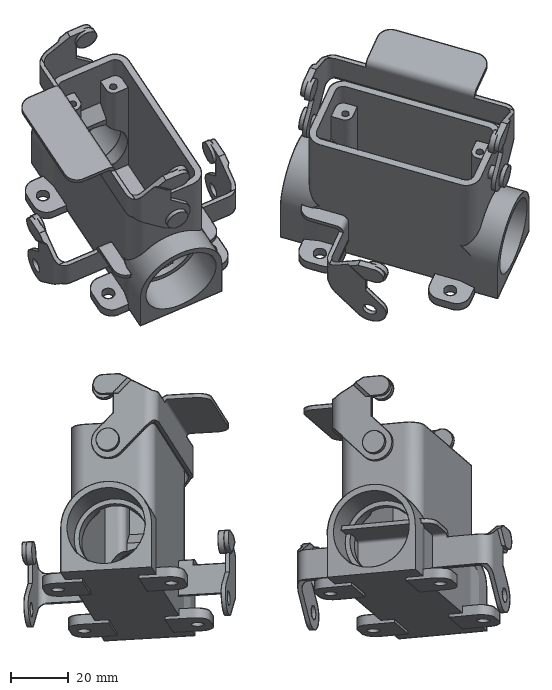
import cadquery as cq
import math


SHELL_HALF_LENGTH = 31.4
SHELL_HALF_WIDTH = 14.8
SHELL_HEIGHT = 56.0
SHELL_RADIUS = 5.5
WALL = 2.5
CAVITY_RADIUS = 2.9
FLOOR = 2.5
CAVITY_HALF_LENGTH = SHELL_HALF_LENGTH - WALL
CAVITY_HALF_WIDTH = SHELL_HALF_WIDTH - WALL

ENTRY_HALF_LENGTH = 40.0
ENTRY_RADIUS = 16.0
ENTRY_AXIS_Z = ENTRY_RADIUS
ENTRY_BORE_DIAMETER = 27.5
ENTRY_BORE_DEPTH = 13.1
ENTRY_THROAT_DIAMETER = 24.0

BLOCK_INNER_X = 24.5
BLOCK_EDGE_Z = 30.0
BLOCK_TOP_Z = BLOCK_EDGE_Z + CAVITY_HALF_LENGTH - BLOCK_INNER_X

POST_RADIUS = 2.8
POST_HOLE_X = 24.7
POST_HOLE_Y = 7.9
POST_HOLE_DIAMETER = 2.5
POST_HOLE_DEPTH = 8.0
POST_TOP_Z = 46.8

FOOT_SIZE = 15.0
FOOT_OUTER_Y = 25.0
FOOT_BOTTOM_Z = -1.1
FOOT_TOP_Z = 2.5
FOOT_RADIUS = 5.0
FOOT_HOLE_X = 24.0
FOOT_HOLE_Y = 20.0
FOOT_HOLE_DIAMETER = 4.5

PIN_Z = 48.2
PIN_DIAMETER = 4.7
PIN_HEAD_DIAMETER = 8.0
PIN_HEAD_INNER_X = 36.1
PIN_HEAD_OUTER_X = 37.6

SHEET = 1.5
ARM_OUTER = 35.5
BEND_OUTER_RADIUS = 4.5
PIVOT_END_RADIUS = 6.0
PIVOT_HOLE_DIAMETER = 5.0
BAR_FRONT = 16.9
BAR_BACK = BAR_FRONT - SHEET
BAR_BOTTOM = 7.1
BAR_TOP = 17.8
NECK_FORWARD = 1.6
HOOK_TOP = 23.9
HOOK_BOTTOM = 17.0
HOOK_CENTRE_FORWARD = -1.8
HOOK_TOP_END = 4.0
SLOPE_END_FORWARD = 15.1
HOOK_STEP = 0.9
STEP_RUN = 1.8
BUTTON_DIAMETER = 8.0
BUTTON_INNER = 32.8
BUTTON_OUTER = 34.9
GRIP_BEND_RADIUS = 1.1
GRIP_END = 32.4
GRIP_HALF_WIDTH = 20.0
GRIP_RADIUS = 5.0

ENDS = (-1, 1)
CORNERS = [(x, y) for x in ENDS for y in ENDS]


def box(x0, x1, y0, y1, z0, z1):
    """Axis-aligned block between two opposite corners, given in any order."""
    size = (abs(x1 - x0), abs(y1 - y0), abs(z1 - z0))
    corner = (min(x0, x1), min(y0, y1), min(z0, z1))
    return cq.Workplane("XY").box(*size, centered=False).translate(corner)


def rod_x(x0, x1, y, z, diameter):
    """Cylinder along X from x0 to x1."""
    return cq.Workplane("YZ", origin=(x0, y, z)).circle(diameter / 2).extrude(x1 - x0)


def shell():
    plan = cq.Workplane("XY").rect(2 * SHELL_HALF_LENGTH, 2 * SHELL_HALF_WIDTH)
    return plan.extrude(SHELL_HEIGHT).edges("|Z").fillet(SHELL_RADIUS)


def cable_entries():
    """Arched block through the shell, narrowing to the shell width behind its corners."""
    arch = rod_x(-ENTRY_HALF_LENGTH, ENTRY_HALF_LENGTH, 0, ENTRY_AXIS_Z, 2 * ENTRY_RADIUS)
    base = box(-ENTRY_HALF_LENGTH, ENTRY_HALF_LENGTH, -ENTRY_RADIUS, ENTRY_RADIUS, 0, ENTRY_AXIS_Z)
    taper_x = SHELL_HALF_LENGTH - SHELL_RADIUS
    side = [
        (ENTRY_HALF_LENGTH, ENTRY_RADIUS),
        (SHELL_HALF_LENGTH, ENTRY_RADIUS),
        (taper_x, SHELL_HALF_WIDTH),
        (-taper_x, SHELL_HALF_WIDTH),
        (-SHELL_HALF_LENGTH, ENTRY_RADIUS),
        (-ENTRY_HALF_LENGTH, ENTRY_RADIUS),
    ]
    opposite_side = [(-x, -y) for x, y in side]
    plan = cq.Workplane("XY").polyline(side + opposite_side).close()
    return arch.union(base).intersect(plan.extrude(SHELL_HEIGHT))


def end_block(end):
    """Thickened end wall with a top that slopes down into the cavity."""
    section = [
        (end * CAVITY_HALF_LENGTH, FLOOR),
        (end * BLOCK_INNER_X, FLOOR),
        (end * BLOCK_INNER_X, BLOCK_EDGE_Z),
        (end * CAVITY_HALF_LENGTH, BLOCK_TOP_Z),
    ]
    return cq.Workplane("XZ").polyline(section).close().extrude(CAVITY_HALF_WIDTH, both=True)


def post(x_side, y_side):
    """Corner post from the floor up, whose free corner is rounded about its screw hole."""
    inner_x = x_side * (POST_HOLE_X - POST_RADIUS)
    inner_y = y_side * (POST_HOLE_Y - POST_RADIUS)
    outer_x = x_side * CAVITY_HALF_LENGTH
    outer_y = y_side * CAVITY_HALF_WIDTH
    body = box(inner_x, outer_x, inner_y, outer_y, FLOOR, POST_TOP_Z)
    free_corner = cq.selectors.NearestToPointSelector((inner_x, inner_y, (FLOOR + POST_TOP_Z) / 2))
    hole = cq.Workplane("XY", origin=(x_side * POST_HOLE_X, y_side * POST_HOLE_Y, POST_TOP_Z))
    hole = hole.circle(POST_HOLE_DIAMETER / 2).extrude(-POST_HOLE_DEPTH)
    return body.edges(free_corner).fillet(POST_RADIUS).cut(hole)


def cavity():
    """Open interior, less the end blocks and posts that are left standing in it."""
    plan = cq.Workplane("XY", origin=(0, 0, FLOOR)).rect(2 * CAVITY_HALF_LENGTH, 2 * CAVITY_HALF_WIDTH)
    space = plan.extrude(SHELL_HEIGHT - FLOOR).edges("|Z").fillet(CAVITY_RADIUS)
    for end in ENDS:
        space = space.cut(end_block(end))
    for x_side, y_side in CORNERS:
        space = space.cut(post(x_side, y_side))
    return space


def entry_bore(end):
    """Stepped bore from the entry face, through the end block and posts, into the cavity."""
    face_x = end * ENTRY_HALF_LENGTH
    shoulder_x = end * (ENTRY_HALF_LENGTH - ENTRY_BORE_DEPTH)
    bore = rod_x(face_x, shoulder_x, 0, ENTRY_AXIS_Z, ENTRY_BORE_DIAMETER)
    throat = rod_x(face_x, end * (POST_HOLE_X - POST_RADIUS), 0, ENTRY_AXIS_Z, ENTRY_THROAT_DIAMETER)
    return bore.union(throat)


def foot(x_side, y_side):
    """Mounting foot with rounded outer corners, reaching under the shell."""
    outer_x = x_side * SHELL_HALF_LENGTH
    inner_x = x_side * (SHELL_HALF_LENGTH - FOOT_SIZE)
    outer_y = y_side * FOOT_OUTER_Y
    inner_y = y_side * (FOOT_OUTER_Y - FOOT_SIZE)
    plate = box(inner_x, outer_x, inner_y, outer_y, FOOT_BOTTOM_Z, FOOT_TOP_Z)
    outer_face = ">Y" if y_side > 0 else "<Y"
    plate = plate.faces(outer_face).edges("|Z").fillet(FOOT_RADIUS)
    hole = cq.Workplane("XY", origin=(x_side * FOOT_HOLE_X, y_side * FOOT_HOLE_Y, FOOT_BOTTOM_Z))
    return plate.cut(hole.circle(FOOT_HOLE_DIAMETER / 2).extrude(FOOT_TOP_Z - FOOT_BOTTOM_Z))


def pivot_pin(end):
    """Headed pin standing out from the end wall."""
    shaft_root_x = end * (SHELL_HALF_LENGTH - WALL / 2)
    head_x = end * PIN_HEAD_INNER_X
    shaft = rod_x(shaft_root_x, head_x, 0, PIN_Z, PIN_DIAMETER)
    return shaft.union(rod_x(head_x, end * PIN_HEAD_OUTER_X, 0, PIN_Z, PIN_HEAD_DIAMETER))


def build_housing():
    body = shell().union(cable_entries())
    for x_side, y_side in CORNERS:
        body = body.union(foot(x_side, y_side))
    body = body.cut(cavity())
    for end in ENDS:
        body = body.cut(entry_bore(end)).union(pivot_pin(end))
    return body


def side_plane(x=0.0):
    """Sketch plane across X whose coordinates are (forward, up) and whose normal is -X."""
    return cq.Workplane(cq.Plane(origin=(x, 0, 0), xDir=(0, -1, 0), normal=(-1, 0, 0)))


def arm_outline(plane):
    """Silhouette of both arms and the cross bar, with 45 degree tangents to the pivot end."""
    tangent_offset = PIVOT_END_RADIUS * math.sqrt(2)
    tangent_point = PIVOT_END_RADIUS / math.sqrt(2)
    hook_middle = (HOOK_TOP + HOOK_BOTTOM) / 2
    hook_radius = (HOOK_TOP - HOOK_BOTTOM) / 2
    return (
        plane.moveTo(tangent_point, -tangent_point)
        .lineTo(tangent_offset + BAR_BOTTOM, BAR_BOTTOM)
        .lineTo(BAR_FRONT, BAR_BOTTOM)
        .lineTo(BAR_FRONT, BAR_TOP)
        .lineTo(SLOPE_END_FORWARD, BAR_TOP)
        .lineTo(HOOK_TOP_END, HOOK_TOP)
        .lineTo(HOOK_CENTRE_FORWARD, HOOK_TOP)
        .threePointArc((HOOK_CENTRE_FORWARD - hook_radius, hook_middle), (HOOK_CENTRE_FORWARD, HOOK_BOTTOM))
        .lineTo(NECK_FORWARD, HOOK_BOTTOM)
        .lineTo(NECK_FORWARD, NECK_FORWARD + tangent_offset)
        .lineTo(-tangent_point, tangent_point)
        .threePointArc((-tangent_point, -tangent_point), (tangent_point, -tangent_point))
        .close()
    )


def channel():
    """Sheet bent into a U: cross bar and both arms, before their outline is trimmed."""
    back = PIVOT_END_RADIUS
    outer = box(-ARM_OUTER, ARM_OUTER, -BAR_FRONT, back, -PIVOT_END_RADIUS, HOOK_TOP)
    outer = outer.edges("|Z and <Y").fillet(BEND_OUTER_RADIUS)
    arm_inner = ARM_OUTER - SHEET
    inner = box(-arm_inner, arm_inner, -BAR_BACK, back, -PIVOT_END_RADIUS, HOOK_TOP)
    inner = inner.edges("|Z and <Y").fillet(BEND_OUTER_RADIUS - SHEET)
    return outer.cut(inner)


def hook_pad(end):
    """Outward step of one hook, its sloped front edge running at 45 degrees across the arm."""
    step_foot = NECK_FORWARD + STEP_RUN
    far_back = -2 * PIVOT_END_RADIUS
    rise = HOOK_TOP - HOOK_BOTTOM

    def section(step_forward, x):
        plane = side_plane(x)
        return plane.polyline([
            (far_back, HOOK_BOTTOM),
            (step_forward, HOOK_BOTTOM),
            (step_forward + rise, HOOK_TOP),
            (far_back, HOOK_TOP),
        ]).close().wires().val()

    arm_face = section(step_foot, end * ARM_OUTER)
    pad_face = section(NECK_FORWARD, end * (ARM_OUTER + HOOK_STEP))
    return cq.Workplane("XY").add(cq.Solid.makeLoft([arm_face, pad_face], True))


def hook_button(end):
    """Round latch button on the inner face of one hook."""
    centre_z = HOOK_TOP - BUTTON_DIAMETER / 2
    return rod_x(end * BUTTON_INNER, end * BUTTON_OUTER, -HOOK_CENTRE_FORWARD, centre_z, BUTTON_DIAMETER)


def grip():
    """Tab bent forward from the top of the cross bar."""
    bend_centre = (BAR_FRONT + GRIP_BEND_RADIUS, BAR_TOP)
    outer_radius = GRIP_BEND_RADIUS + SHEET
    tab_bottom = BAR_TOP + GRIP_BEND_RADIUS
    tab_top = tab_bottom + SHEET

    def bend_middle(radius):
        offset = radius / math.sqrt(2)
        return (bend_centre[0] - offset, bend_centre[1] + offset)

    profile = (
        side_plane().moveTo(BAR_BACK, BAR_TOP)
        .threePointArc(bend_middle(outer_radius), (bend_centre[0], tab_top))
        .lineTo(GRIP_END, tab_top)
        .lineTo(GRIP_END, tab_bottom)
        .lineTo(bend_centre[0], tab_bottom)
        .threePointArc(bend_middle(GRIP_BEND_RADIUS), (BAR_FRONT, BAR_TOP))
        .close()
    )
    tab = profile.extrude(GRIP_HALF_WIDTH, both=True)
    return tab.faces("<Y").edges("|Z").fillet(GRIP_RADIUS)


def build_lever():
    reach = ARM_OUTER + HOOK_STEP
    sheet = channel()
    for end in ENDS:
        sheet = sheet.union(hook_pad(end))
    lever = sheet.intersect(arm_outline(side_plane()).extrude(reach, both=True))
    lever = lever.cut(rod_x(-reach, reach, 0, 0, PIVOT_HOLE_DIAMETER))
    for end in ENDS:
        lever = lever.union(hook_button(end))
    return lever.union(grip())


LEVER_PLACES = [(0, PIN_Z), (90, 0)]

lever_blank = build_lever()
levers = [
    lever_blank.rotate((0, 0, 0), (0, 0, 1), turn).translate((0, 0, pivot_z))
    for turn, pivot_z in LEVER_PLACES
]

housing = build_housing()
for lever in levers:
    housing = housing.cut(lever)

bodies = [housing, *levers]
result = cq.Compound.makeCompound([body.solids().val() for body in bodies])